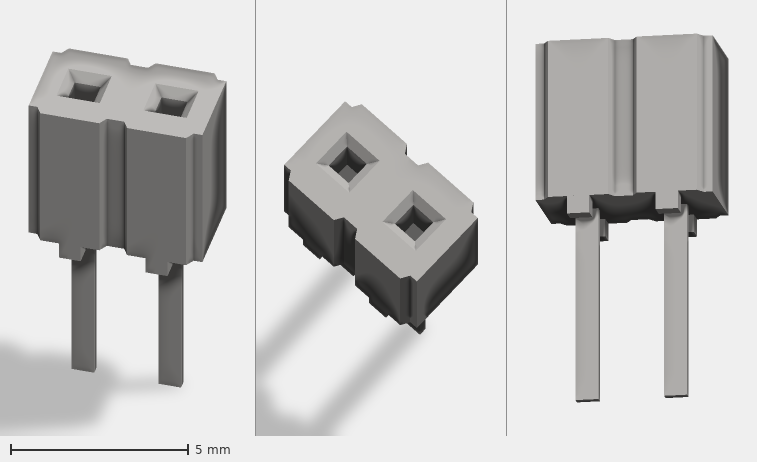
import cadquery as cq

housing_count = 2
pitch = 2.54
housing_depth = 3.05
housing_height = 4.57
notch_width = 0.25
notch_depth = 0.25
bevel_width = 0.15

socket_mouth = 1.27
socket_width = 0.76
funnel_depth = 0.25
socket_depth = 2.03

pin_width = 0.66
pin_thickness = 0.24
pin_length = 5.59
foot_width = 0.64
foot_depth = 0.51
foot_height = 0.51


def make_housing(x_center):
    """Block with notched, bevelled vertical corners and a funnelled blind socket."""
    half_width = pitch / 2
    half_depth = housing_depth / 2
    shoulder_x = half_width - notch_width
    shoulder_y = half_depth - notch_depth
    face_x = shoulder_x - bevel_width
    outline = [
        (-half_width, -shoulder_y),
        (-shoulder_x, -shoulder_y),
        (-face_x, -half_depth),
        (face_x, -half_depth),
        (shoulder_x, -shoulder_y),
        (half_width, -shoulder_y),
        (half_width, shoulder_y),
        (shoulder_x, shoulder_y),
        (face_x, half_depth),
        (-face_x, half_depth),
        (-shoulder_x, shoulder_y),
        (-half_width, shoulder_y),
    ]
    block = cq.Workplane("XY").polyline(outline).close().extrude(housing_height)
    funnel = (
        cq.Workplane("XY", origin=(0, 0, housing_height))
        .rect(socket_mouth, socket_mouth)
        .workplane(offset=-funnel_depth)
        .rect(socket_width, socket_width)
        .loft(ruled=True)
    )
    well = (
        cq.Workplane("XY", origin=(0, 0, housing_height))
        .rect(socket_width, socket_width)
        .extrude(-socket_depth)
    )
    return block.cut(funnel).cut(well).translate((x_center, 0, 0))


def make_pin(x_center):
    """Flat pin hanging from the middle of a housing's underside."""
    return (
        cq.Workplane("XY", origin=(x_center, 0, 0))
        .rect(pin_width, pin_thickness)
        .extrude(-pin_length)
    )


def make_foot(x_center, side):
    """Standoff foot flush with the housing's front (side -1) or back (side 1) face."""
    y_center = side * (housing_depth - foot_depth) / 2
    return (
        cq.Workplane("XY", origin=(x_center, y_center, 0))
        .rect(foot_width, foot_depth)
        .extrude(-foot_height)
    )


bodies = []
for index in range(housing_count):
    x_position = (index - (housing_count - 1) / 2) * pitch
    bodies.append(make_housing(x_position).val())
    bodies.append(make_pin(x_position).val())
    for foot_side in (-1, 1):
        bodies.append(make_foot(x_position, foot_side).val())

result = cq.Compound.makeCompound(bodies)